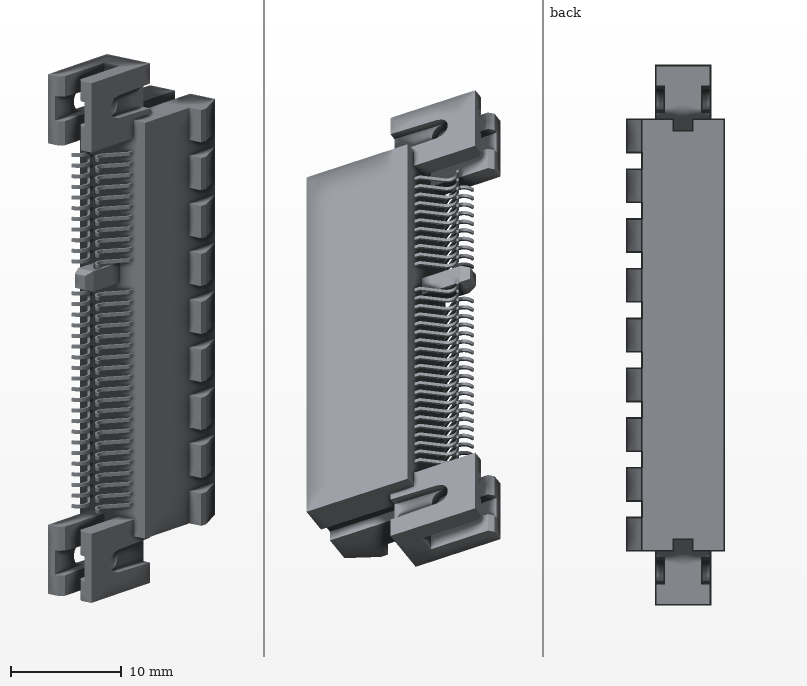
import cadquery as cq
import math


body_width = 7.45
body_depth = 10.3
body_height = 39.05
card_slot_width = 1.75
end_groove_depth = 1.02

tooth_count = 9
tooth_reach = 1.35
tooth_height = 3.05
tooth_slope_depth = 3.05
tooth_depth = 3.75

overall_height = 48.8
bracket_width = 5.0
bracket_height = 6.5
bridge_depth = 2.4
arm_length = 6.25
arm_tip_chamfer = 0.45
hole_diameter = 2.0
hole_to_face = 2.45
hole_to_end = 3.05
channel_narrow = 2.1
channel_wide = 2.35
inner_channel_depth = 0.85
outer_channel_depth = 0.8

contact_rows = 32
rows_above_key = 11
pitches_in_key_gap = 3
contact_span = 33.0
contact_thickness = 0.2
contact_width = 0.325
contact_line = 2.3
curl_radius = 1.02
curl_center_x = 1.7
curl_center_y = -2.95
strand_angle = math.radians(38)
curl_end_angle = math.radians(-80)
contact_root = 0.5

peg_width = card_slot_width
peg_height = 1.9
peg_length = 4.75
peg_tip_length = 0.85
peg_tip_inset = 0.3

half_body = body_height / 2
half_overall = overall_height / 2
contact_pitch = contact_span / (contact_rows - 2 + pitches_in_key_gap)
key_z = contact_span / 2 - (rows_above_key - 1 + pitches_in_key_gap / 2) * contact_pitch


def box(x_min, x_max, y_min, y_max, z_min, z_max):
    """Axis-aligned box given by its limits."""
    size = (x_max - x_min, y_max - y_min, z_max - z_min)
    return cq.Workplane("XY").box(*size, centered=False).translate((x_min, y_min, z_min))


def make_body():
    """Rectangular housing with a shallow groove across each end."""
    body = box(-body_width / 2, body_width / 2, 0, body_depth, -half_body, half_body)
    half_slot = card_slot_width / 2
    groove = box(-half_slot, half_slot, 0, body_depth, half_body - end_groove_depth, half_body)
    return body.cut(groove).cut(groove.mirror("XY"))


def make_teeth():
    """Evenly spaced ramped teeth, with the outer two flush with the body ends."""
    side = body_width / 2
    tooth = (
        cq.Workplane("XY")
        .moveTo(side, body_depth)
        .lineTo(side + tooth_reach, body_depth - tooth_slope_depth)
        .lineTo(side + tooth_reach, body_depth - tooth_depth)
        .lineTo(side, body_depth - tooth_depth)
        .close()
        .extrude(tooth_height)
    )
    pitch = (body_height - tooth_height) / (tooth_count - 1)
    return [tooth.translate((0, 0, -half_body + i * pitch)) for i in range(tooth_count)]


def make_channel(y_end, hole_z, x_start, depth):
    """Channel that widens from the arm hole to the arm edge at y_end."""
    return (
        cq.Workplane("YZ", origin=(x_start, 0, hole_z))
        .moveTo(-hole_to_face, -channel_narrow / 2)
        .lineTo(y_end, -channel_wide / 2)
        .lineTo(y_end, channel_wide / 2)
        .lineTo(-hole_to_face, channel_narrow / 2)
        .close()
        .extrude(depth)
    )


def make_bracket():
    """Upper end bracket: a U with chamfered arm tips, a cross hole and channels in both arms."""
    half_width = bracket_width / 2
    half_slot = card_slot_width / 2
    hole_z = half_overall - hole_to_end
    bracket = (
        cq.Workplane("XY", origin=(0, 0, half_overall - bracket_height))
        .moveTo(-half_width, bridge_depth)
        .lineTo(-half_width, -arm_length)
        .lineTo(-half_slot - arm_tip_chamfer, -arm_length)
        .lineTo(-half_slot, -arm_length + arm_tip_chamfer)
        .lineTo(-half_slot, 0)
        .lineTo(half_slot, 0)
        .lineTo(half_slot, -arm_length + arm_tip_chamfer)
        .lineTo(half_slot + arm_tip_chamfer, -arm_length)
        .lineTo(half_width, -arm_length)
        .lineTo(half_width, bridge_depth)
        .close()
        .extrude(bracket_height)
    )
    hole = (
        cq.Workplane("YZ", origin=(-half_width, -hole_to_face, hole_z))
        .circle(hole_diameter / 2)
        .extrude(bracket_width)
    )
    inner_reach = half_slot + inner_channel_depth
    inner_channel = make_channel(-arm_length, hole_z, -inner_reach, 2 * inner_reach)
    bracket = bracket.cut(hole).cut(inner_channel)
    for x_start in (-half_width, half_width - outer_channel_depth):
        bracket = bracket.cut(make_channel(bridge_depth, hole_z, x_start, outer_channel_depth))
    return bracket


def make_contact():
    """Contact of the -X row: a stub, a strand sloping inward and a tip curling back outward."""
    strand_shift = contact_line - curl_center_x + curl_radius * math.cos(strand_angle)
    strand_run = strand_shift / math.sin(strand_angle)
    bend_y = curl_center_y + curl_radius * math.sin(strand_angle) + strand_run * math.cos(strand_angle)

    def bend(offset):
        return (-contact_line + offset, bend_y + offset * math.tan(strand_angle / 2))

    def curl(offset, angle):
        radius = curl_radius + offset
        return (-curl_center_x + radius * math.cos(angle), curl_center_y + radius * math.sin(angle))

    half = contact_thickness / 2
    middle_angle = (strand_angle + curl_end_angle) / 2
    return (
        cq.Workplane("XY", origin=(0, 0, -contact_width / 2))
        .moveTo(-contact_line - half, contact_root)
        .lineTo(*bend(-half))
        .lineTo(*curl(-half, strand_angle))
        .threePointArc(curl(-half, middle_angle), curl(-half, curl_end_angle))
        .lineTo(*curl(half, curl_end_angle))
        .threePointArc(curl(half, middle_angle), curl(half, strand_angle))
        .lineTo(*bend(half))
        .lineTo(-contact_line + half, contact_root)
        .close()
        .extrude(contact_width)
    )


def make_contacts():
    """Two mirrored rows of contacts, interrupted at the locating peg."""
    left = make_contact()
    right = left.mirror("YZ")
    contacts = []
    for row in range(contact_rows):
        steps = row if row < rows_above_key else row + pitches_in_key_gap - 1
        z = contact_span / 2 - steps * contact_pitch
        contacts += [left.translate((0, 0, z)), right.translate((0, 0, z))]
    return contacts


def make_peg():
    """Rectangular locating peg with a tapered tip."""
    shank_length = peg_length - peg_tip_length
    z_min = key_z - peg_height / 2
    shank = box(-peg_width / 2, peg_width / 2, -shank_length, 0, z_min, z_min + peg_height)
    tip = (
        cq.Workplane("XZ", origin=(0, -shank_length, key_z))
        .rect(peg_width, peg_height)
        .workplane(offset=peg_tip_length)
        .rect(peg_width - 2 * peg_tip_inset, peg_height - 2 * peg_tip_inset)
        .loft(ruled=True)
    )
    return shank.union(tip)


upper_bracket = make_bracket()
features = [upper_bracket, upper_bracket.mirror("XY"), make_peg()]
features += make_teeth()
features += make_contacts()

solid = make_body().val().fuse(*[feature.val() for feature in features])
result = cq.Workplane("XY").newObject([solid.clean().Solids()[0]])